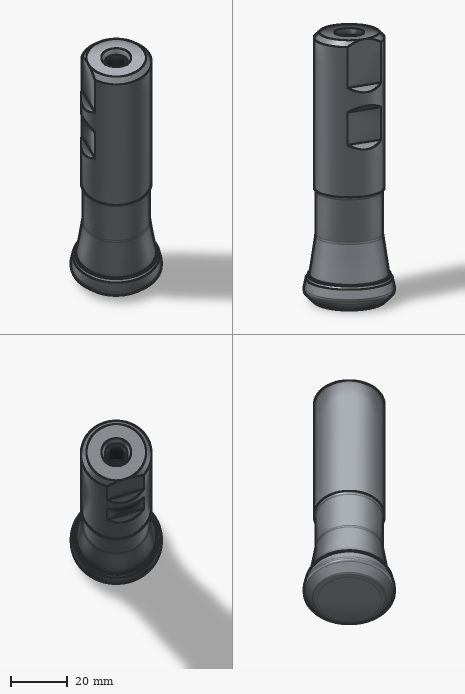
import cadquery as cq
import math

TOTAL_LENGTH = 99.0

SHANK_RADIUS = 25.0 / 2
SHANK_BOTTOM_Z = 41.9
SHANK_TOP_CHAMFER = 2.0

NECK_RADIUS = 24.0 / 2
NECK_BLEND_HEIGHT = 1.2

FLARE_TOP_Z = 24.75
FLARE_BEND_RADIUS = 5.9
FLARE_BOTTOM_RADIUS = 14.2

SELECTION_MARGIN = 0.1

FLAT_DISTANCE = 10.5
FLAT_DEPTH = SHANK_RADIUS - FLAT_DISTANCE
UPPER_FLAT_BOTTOM_Z = 82.1
LOWER_FLAT_TOP_Z = 73.1
LOWER_FLAT_LENGTH = 12.0

HOLE_RADIUS = 8.0 / 2
HOLE_DEPTH = 19.8
HOLE_POINT_ANGLE = 118.0
COUNTERSINK_RADIUS = 10.5 / 2
COUNTERSINK_DEPTH = 2.0

HEAD_RADIUS = 32.3 / 2
HEAD_HEIGHT = 10.1
HEAD_TOP_RADIUS = 14.7
HEAD_LIP_HEIGHT = 0.4
HEAD_CHAMFER_HEIGHT = 1.0
HEAD_SIDE_ANGLE = math.radians(12)
RIM_TOP_Z = 5.2
RIM_BOTTOM_Z = 4.5
RIM_ARC_RADIUS = 1.5
UNDERSIDE_ANGLE = math.radians(45)
BOTTOM_ARC_RADIUS = 2.5


def revolve_about_z(profile):
    """Turn a closed (radius, z) profile around the Z axis."""
    return profile.revolve(360, (0, 0, 0), (0, 1, 0))


def point_on_arc(centre, radius, angle):
    """Point of a circle at an angle measured upwards from the outward radial direction."""
    return (centre[0] + radius * math.cos(angle), centre[1] + radius * math.sin(angle))


def turned_shank():
    """Chamfered shank, neck and flared foot, without flats or hole."""
    step = SHANK_RADIUS - NECK_RADIUS
    blend_radius = (NECK_BLEND_HEIGHT**2 + step**2) / (2 * step)
    blend_end_angle = math.pi - math.asin(NECK_BLEND_HEIGHT / blend_radius)
    blend_mid_angle = (math.pi + blend_end_angle) / 2
    blend_start_z = SHANK_BOTTOM_Z - NECK_BLEND_HEIGHT
    blend_centre = (NECK_RADIUS + blend_radius, blend_start_z)

    profile = (
        cq.Workplane("XZ")
        .moveTo(0, HEAD_HEIGHT)
        .lineTo(FLARE_BOTTOM_RADIUS, HEAD_HEIGHT)
        .lineTo(NECK_RADIUS, FLARE_TOP_Z)
        .lineTo(NECK_RADIUS, blend_start_z)
        .threePointArc(
            point_on_arc(blend_centre, blend_radius, blend_mid_angle),
            (SHANK_RADIUS, SHANK_BOTTOM_Z),
        )
        .lineTo(SHANK_RADIUS, TOTAL_LENGTH - SHANK_TOP_CHAMFER)
        .lineTo(SHANK_RADIUS - SHANK_TOP_CHAMFER, TOTAL_LENGTH)
        .lineTo(0, TOTAL_LENGTH)
        .close()
    )
    turned = revolve_about_z(profile)
    flare_bend = cq.selectors.BoxSelector(
        (-SHANK_RADIUS, -SHANK_RADIUS, FLARE_TOP_Z - SELECTION_MARGIN),
        (SHANK_RADIUS, SHANK_RADIUS, FLARE_TOP_Z + SELECTION_MARGIN),
        boundingbox=True,
    )
    return turned.edges(flare_bend).fillet(FLARE_BEND_RADIUS)


def flat_cutter(outline):
    """Prism across the full shank width from a (y, z) outline."""
    return cq.Workplane("YZ").polyline(outline).close().extrude(SHANK_RADIUS, both=True)


def upper_flat():
    """Flat that runs out through the top face and ends in a 45 degree ramp."""
    return flat_cutter([
        (-FLAT_DISTANCE, TOTAL_LENGTH),
        (-FLAT_DISTANCE, UPPER_FLAT_BOTTOM_Z),
        (-SHANK_RADIUS, UPPER_FLAT_BOTTOM_Z - FLAT_DEPTH),
        (-SHANK_RADIUS, TOTAL_LENGTH),
    ])


def lower_flat():
    """Flat with a 45 degree ramp at both ends."""
    bottom_z = LOWER_FLAT_TOP_Z - LOWER_FLAT_LENGTH
    return flat_cutter([
        (-FLAT_DISTANCE, LOWER_FLAT_TOP_Z),
        (-FLAT_DISTANCE, bottom_z),
        (-SHANK_RADIUS, bottom_z - FLAT_DEPTH),
        (-SHANK_RADIUS, LOWER_FLAT_TOP_Z + FLAT_DEPTH),
    ])


def centre_hole():
    """Countersunk blind hole with a drill point."""
    point_length = HOLE_RADIUS / math.tan(math.radians(HOLE_POINT_ANGLE / 2))
    hole_bottom_z = TOTAL_LENGTH - HOLE_DEPTH
    return revolve_about_z(
        cq.Workplane("XZ")
        .moveTo(0, TOTAL_LENGTH)
        .lineTo(COUNTERSINK_RADIUS, TOTAL_LENGTH)
        .lineTo(HOLE_RADIUS, TOTAL_LENGTH - COUNTERSINK_DEPTH)
        .lineTo(HOLE_RADIUS, hole_bottom_z)
        .lineTo(0, hole_bottom_z - point_length)
        .close()
    )


def make_shank():
    """Complete shank body."""
    return turned_shank().cut(upper_flat()).cut(lower_flat()).cut(centre_hole())


def make_head():
    """Turned head: lip and chamfer, tapered side, cylindrical rim, rounded conical underside."""
    rim_centre = (HEAD_RADIUS - RIM_ARC_RADIUS, RIM_BOTTOM_Z)
    cone_top = point_on_arc(rim_centre, RIM_ARC_RADIUS, -UNDERSIDE_ANGLE)
    rim_arc_middle = point_on_arc(rim_centre, RIM_ARC_RADIUS, -UNDERSIDE_ANGLE / 2)

    cone_bottom_z = BOTTOM_ARC_RADIUS * (1 - math.cos(UNDERSIDE_ANGLE))
    cone_bottom_radius = cone_top[0] - (cone_top[1] - cone_bottom_z) / math.tan(UNDERSIDE_ANGLE)
    flat_radius = cone_bottom_radius - BOTTOM_ARC_RADIUS * math.sin(UNDERSIDE_ANGLE)
    bottom_centre = (flat_radius, BOTTOM_ARC_RADIUS)
    bottom_arc_middle = point_on_arc(
        bottom_centre, BOTTOM_ARC_RADIUS, -(math.pi / 2 + UNDERSIDE_ANGLE) / 2
    )

    lip_bottom_z = HEAD_HEIGHT - HEAD_LIP_HEIGHT
    side_top_z = lip_bottom_z - HEAD_CHAMFER_HEIGHT
    side_top_radius = HEAD_RADIUS - (side_top_z - RIM_TOP_Z) * math.tan(HEAD_SIDE_ANGLE)

    return revolve_about_z(
        cq.Workplane("XZ")
        .lineTo(flat_radius, 0)
        .threePointArc(bottom_arc_middle, (cone_bottom_radius, cone_bottom_z))
        .lineTo(*cone_top)
        .threePointArc(rim_arc_middle, (HEAD_RADIUS, RIM_BOTTOM_Z))
        .lineTo(HEAD_RADIUS, RIM_TOP_Z)
        .lineTo(side_top_radius, side_top_z)
        .lineTo(HEAD_TOP_RADIUS, lip_bottom_z)
        .lineTo(HEAD_TOP_RADIUS, HEAD_HEIGHT)
        .lineTo(0, HEAD_HEIGHT)
        .close()
    )


shank = make_shank()
head = make_head()

result = cq.Compound.makeCompound([shank.val(), head.val()])